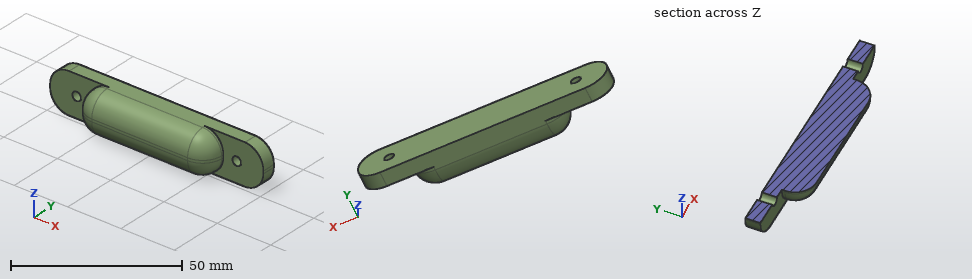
import cadquery as cq

length = 80.0
height = 15.0
depth = 13.0
plate_thickness = 5.0
housing_length = 50.0
corner_radius = 7.0
hole_diameter = 3.2
hole_spacing = 60.0

housing_depth = depth - plate_thickness


def rounded_block(block_length, block_depth):
    """Block extending from the plate's front face toward -Y for positive depth, with rounded corners."""
    return (
        cq.Workplane("XZ")
        .rect(block_length, height)
        .extrude(block_depth)
        .edges("|Y")
        .fillet(corner_radius)
    )


plate = rounded_block(length, -plate_thickness)

housing = rounded_block(housing_length, housing_depth).faces("<Y").edges().fillet(corner_radius)

holes = (
    cq.Workplane("XZ")
    .pushPoints([(-hole_spacing / 2, 0), (hole_spacing / 2, 0)])
    .circle(hole_diameter / 2)
    .extrude(-plate_thickness)
)

result = plate.cut(holes).union(housing)